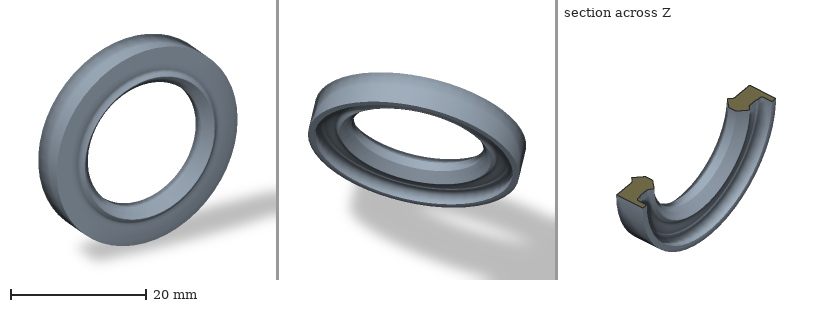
import cadquery as cq
import math

outer_radius = 16.0
wall_radius = 15.0
step_radius = 14.1
lip_base_radius = 12.22
lip_tip_radius = 11.52
land_width = 0.1
bore_radius = 10.0
body_thickness = 5.0
lip_height = 0.67
floor_depth = 2.08
step_height = 0.13
fillet_radius = 0.4

total_thickness = body_thickness + lip_height
upper_floor_depth = floor_depth - step_height
front_tip_x = floor_depth - lip_height
flare_radius = lip_tip_radius - land_width
flare_length = flare_radius - bore_radius

lip_width = lip_base_radius - lip_tip_radius
lip_angle = math.atan2(lip_height, lip_width)
foot_setback = fillet_radius * math.tan(lip_angle / 2)
foot_start_radius = lip_base_radius + foot_setback
foot_end_radius = lip_base_radius - foot_setback * math.cos(lip_angle)
foot_end_rise = foot_setback * math.sin(lip_angle)
foot_mid_radius = foot_start_radius - fillet_radius * math.sin(lip_angle / 2)
foot_mid_rise = fillet_radius * (1 - math.cos(lip_angle / 2))

corner_mid_inset = fillet_radius * (1 - math.sqrt(0.5))

step_angle = math.acos(1 - step_height / fillet_radius)
step_foot_radius = step_radius - fillet_radius * math.sin(step_angle)
step_mid_radius = step_foot_radius + fillet_radius * math.sin(step_angle / 2)
step_mid_x = floor_depth - fillet_radius * (1 - math.cos(step_angle / 2))

section = (
    cq.Workplane("XY")
    .moveTo(0, outer_radius)
    .lineTo(body_thickness, outer_radius)
    .lineTo(body_thickness, foot_start_radius)
    .threePointArc(
        (body_thickness + foot_mid_rise, foot_mid_radius),
        (body_thickness + foot_end_rise, foot_end_radius),
    )
    .lineTo(total_thickness, lip_tip_radius)
    .lineTo(total_thickness, flare_radius)
    .lineTo(total_thickness - flare_length, bore_radius)
    .lineTo(front_tip_x + flare_length, bore_radius)
    .lineTo(front_tip_x, flare_radius)
    .lineTo(front_tip_x, lip_tip_radius)
    .lineTo(floor_depth - foot_end_rise, foot_end_radius)
    .threePointArc(
        (floor_depth - foot_mid_rise, foot_mid_radius),
        (floor_depth, foot_start_radius),
    )
    .lineTo(floor_depth, step_foot_radius)
    .threePointArc((step_mid_x, step_mid_radius), (upper_floor_depth, step_radius))
    .lineTo(upper_floor_depth, wall_radius - fillet_radius)
    .threePointArc(
        (upper_floor_depth - corner_mid_inset, wall_radius - corner_mid_inset),
        (upper_floor_depth - fillet_radius, wall_radius),
    )
    .lineTo(0, wall_radius)
    .close()
)

result = section.revolve(360, (0, 0, 0), (1, 0, 0))